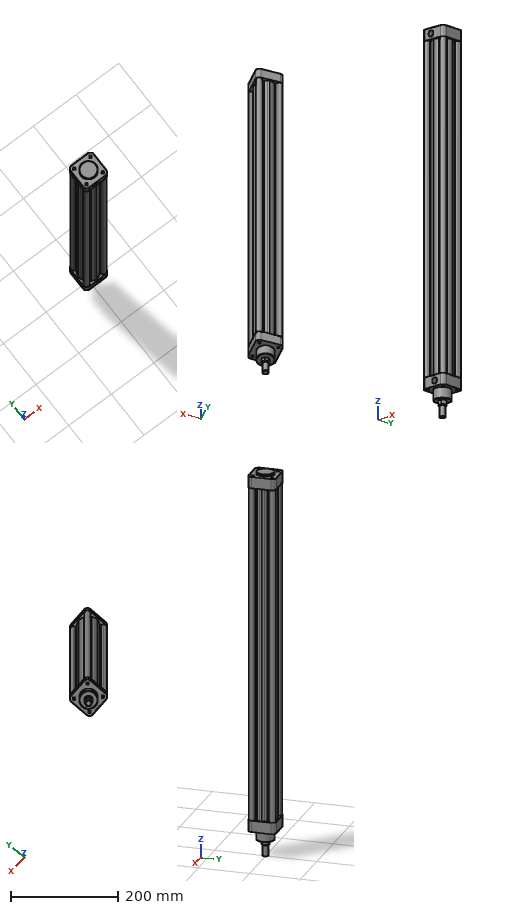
import cadquery as cq
import math


cap_side = 54.0
cap_corner_radius = 8.0
cap_length = 22.5
barrel_length = 660.0

collar_diameter = 35.0
front_collar_length = 21.5
rear_collar_length = 4.0
collar_chamfer = 1.0

rod_diameter = 16.0
rod_standout = 30.0
wrench_flat_width = 14.0
thread_diameter = 12.0
threaded_end_length = 24.0
thread_chamfer = 1.0

screw_hole_offset = 19.0
screw_hole_diameter = 5.0
screw_hole_depth = 16.0
port_diameter = 12.0
port_depth = 12.0
port_offset = 4.6

lobe_offset = 20.2
lobe_radius = 6.0
groove_flank_angle = 50.0
groove_inner_edge = 10.0
groove_slot_width = 3.0
groove_floor_height = 18.0
ridge_height = 24.5
ridge_bend = 4.5
ridge_top_slope = 17.0
ridge_flank_slope = 23.0

front_face_z = 0.0
barrel_start_z = front_face_z + cap_length
barrel_end_z = barrel_start_z + barrel_length
rear_face_z = barrel_end_z + cap_length
collar_end_z = front_face_z - front_collar_length
taper_start_z = front_face_z - rod_standout


def cap_block(start_z):
    """Square block with rounded corners, shared by both caps."""
    block = cq.Workplane("XY").workplane(offset=start_z).rect(cap_side, cap_side).extrude(cap_length)
    return block.edges("|Z").fillet(cap_corner_radius)


def disc(diameter, start_z, length):
    """Cylinder on the rod axis."""
    return cq.Workplane("XY").workplane(offset=start_z).circle(diameter / 2).extrude(length)


def screw_holes(face_z, depth):
    """Four corner holes that run from a cap face; a negative depth runs down."""
    spacing = 2 * screw_hole_offset
    corners = cq.Workplane("XY").workplane(offset=face_z).rect(spacing, spacing, forConstruction=True)
    return corners.vertices().circle(screw_hole_diameter / 2).extrude(depth)


def port(x, start_z):
    """Air port bored into the -Y side, halfway along the cap."""
    centre = (x, -cap_side / 2, start_z + cap_length / 2)
    return cq.Workplane("XZ", origin=centre).circle(port_diameter / 2).extrude(-port_depth)


def make_front_cap():
    cap = cap_block(front_face_z)
    collar = disc(collar_diameter, collar_end_z, front_collar_length)
    cap = cap.union(collar.faces("<Z").chamfer(collar_chamfer))
    cap = cap.cut(disc(rod_diameter, collar_end_z, barrel_start_z - collar_end_z))
    cap = cap.cut(screw_holes(front_face_z, screw_hole_depth))
    return cap.cut(port(port_offset, front_face_z))


def make_rear_cap():
    cap = cap_block(barrel_end_z)
    collar = disc(collar_diameter, rear_face_z, rear_collar_length)
    cap = cap.union(collar.faces(">Z").chamfer(collar_chamfer))
    cap = cap.cut(screw_holes(rear_face_z, -screw_hole_depth))
    return cap.cut(port(-port_offset, barrel_end_z))


def ridge_and_grooves():
    """Points of one side, from lobe to lobe, as (place along the side, distance from the axis)."""
    flank = math.radians(groove_flank_angle)
    lobe_edge = lobe_offset - lobe_radius * math.sin(flank)
    lobe_edge_height = lobe_offset + lobe_radius * math.cos(flank)
    groove_outer_edge = groove_inner_edge + groove_slot_width
    lip_height = lobe_edge_height - (lobe_edge - groove_outer_edge) * math.tan(flank)
    bend_height = ridge_height - ridge_bend * math.tan(math.radians(ridge_top_slope))
    flank_width = groove_inner_edge - ridge_bend
    ridge_foot = bend_height - flank_width * math.tan(math.radians(ridge_flank_slope))
    half = [
        (ridge_bend, bend_height),
        (groove_inner_edge, ridge_foot),
        (groove_inner_edge, groove_floor_height),
        (groove_outer_edge, groove_floor_height),
        (groove_outer_edge, lip_height),
        (lobe_edge, lobe_edge_height),
    ]
    mirrored = [(-along, height) for along, height in reversed(half)]
    return mirrored + [(0, ridge_height)] + half


def make_barrel():
    side = ridge_and_grooves()
    lobe_tip = lobe_offset + lobe_radius * math.sqrt(0.5)

    def turned(point, quarter_turns):
        """A side point placed on the +X side and then turned about the axis."""
        along, height = point
        x, y = height, along
        for _ in range(quarter_turns):
            x, y = -y, x
        return x, y

    outline = cq.Workplane("XY").workplane(offset=barrel_start_z).moveTo(*turned(side[0], 0))
    for quarter in range(4):
        for point in side[1:]:
            outline = outline.lineTo(*turned(point, quarter))
        tip = turned((lobe_tip, lobe_tip), quarter)
        outline = outline.threePointArc(tip, turned(side[0], (quarter + 1) % 4))
    return outline.close().extrude(barrel_length)


def make_rod():
    """Rod through the front cap, tapering to a thread, with wrench flats on its free part."""
    rod_radius = rod_diameter / 2
    thread_radius = thread_diameter / 2
    taper = rod_radius - thread_radius
    tip_z = taper_start_z - threaded_end_length
    half_section = [
        (0, tip_z),
        (thread_radius - thread_chamfer, tip_z),
        (thread_radius, tip_z + thread_chamfer),
        (thread_radius, taper_start_z - taper),
        (rod_radius, taper_start_z),
        (rod_radius, barrel_start_z),
        (0, barrel_start_z),
    ]
    rod = cq.Workplane("XZ").polyline(half_section).close().revolve(360, (0, 0, 0), (0, 1, 0))
    flat_length = collar_end_z - taper_start_z
    flat_centre_z = (collar_end_z + taper_start_z) / 2
    for direction in (-1, 1):
        centre = (0, direction * rod_diameter, flat_centre_z)
        cutter_thickness = 2 * rod_diameter - wrench_flat_width
        cutter = cq.Workplane("XY").box(rod_diameter, cutter_thickness, flat_length)
        rod = rod.cut(cutter.translate(centre))
    return rod


front_cap = make_front_cap()
rear_cap = make_rear_cap()
barrel = make_barrel()
rod = make_rod()

result = cq.Compound.makeCompound([front_cap.val(), rear_cap.val(), barrel.val(), rod.val()])